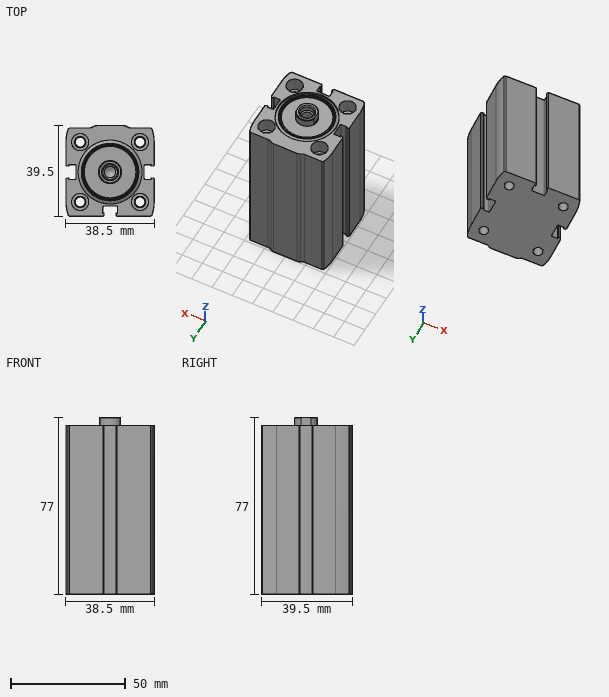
import cadquery as cq
import math

total_height = 77.0
body_width = 38.5
half_width = body_width / 2
body_height = 73.5

flank_flat_half = 12.85
flank_arc_end_x = 18.25
flank_arc_end_y = 18.8
bevel_end_x = 17.55
pad_height = 1.0
pad_top_half = 5.8
pad_base_half = 8.9

slot_depth = 4.4
slot_inner_width = 6.3
slot_mouth_width = 5.15
lip_thickness = 1.4
lip_chamfer = 0.5
floor_fillet = 0.4

hole_offset = 13.0
hole_diameter = 4.2
hole_cone_diameter = 4.9
counterbore_diameter = 7.5
counterbore_depth = 7.0

groove_diameter = 27.8
groove_depth = 0.9
rim_diameter = 25.0
rim_inner_diameter = 24.2
cover_groove_floor_diameter = 23.3
cover_groove_depth = 0.8
cover_diameter = 22.4
cover_recess = 0.4

rod_diameter = 10.0
rod_flat_width = 9.0
rod_tip_chamfer = 0.3
rod_socket_floor = 7.7
rod_mouth_diameter = 7.5
rod_bore_diameter = 6.4
rod_bore_depth = 2.85
rod_seat_depth = 0.4
rod_thread_diameter = 4.9
rod_thread_depth = 11.55
drill_point_angle = 118.0

cover_level = body_height - cover_recess


def revolve_outline(points):
    """Revolve a closed (radius, height) outline about the Z axis."""
    return cq.Workplane("XZ").polyline(points).close().revolve(360, (0, 0), (0, 1))


def make_profile():
    """Extrude the body outline: curved flanks, bevelled corners and a raised back pad."""
    rise = flank_arc_end_y - flank_flat_half
    inset = half_width - flank_arc_end_x
    pad_y = half_width + pad_height
    pad_mid_x = (pad_top_half + pad_base_half) / 2
    pad_mid_y = half_width + pad_height / 2
    flank_radius = (rise**2 + inset**2) / (2 * inset)
    half_angle = math.asin(rise / flank_radius) / 2
    arc_mid_x = half_width - flank_radius * (1 - math.cos(half_angle))
    arc_mid_y = flank_flat_half + flank_radius * math.sin(half_angle)
    right_half = (
        cq.Workplane("XY")
        .moveTo(0, -half_width)
        .lineTo(bevel_end_x, -half_width)
        .lineTo(flank_arc_end_x, -flank_arc_end_y)
        .threePointArc((arc_mid_x, -arc_mid_y), (half_width, -flank_flat_half))
        .lineTo(half_width, flank_flat_half)
        .threePointArc((arc_mid_x, arc_mid_y), (flank_arc_end_x, flank_arc_end_y))
        .lineTo(bevel_end_x, half_width)
        .lineTo(pad_base_half, half_width)
        .tangentArcPoint((pad_mid_x, pad_mid_y), relative=False)
        .tangentArcPoint((pad_top_half, pad_y), relative=False)
        .lineTo(0, pad_y)
    )
    return right_half.mirrorY().extrude(body_height)


def make_slot_cutter():
    """T-slot running the full height, opening on the front face."""
    mouth = slot_mouth_width / 2
    inner = slot_inner_width / 2
    face = -half_width
    outline = [
        (mouth + lip_chamfer, face),
        (mouth, face + lip_chamfer),
        (mouth, face + lip_thickness),
        (inner, face + lip_thickness),
        (inner, face + slot_depth),
    ]
    mirrored = [(-x, y) for x, y in reversed(outline)]
    slot = cq.Workplane("XY").polyline(outline + mirrored).close().extrude(body_height)
    return slot.faces(">Y").edges("|Z").fillet(floor_fillet)


def make_hole_cutter():
    """Through hole with a short cone below a flat-bottomed counterbore."""
    bore = hole_diameter / 2
    cone = hole_cone_diameter / 2
    seat = body_height - counterbore_depth
    return revolve_outline([
        (0, 0),
        (bore, 0),
        (bore, seat - (cone - bore)),
        (cone, seat),
        (counterbore_diameter / 2, seat),
        (counterbore_diameter / 2, body_height),
        (0, body_height),
    ])


def make_groove_cutter():
    """Ring groove with a vertical outer wall and a cone rising inwards to the rim."""
    return revolve_outline([
        (groove_diameter / 2, body_height),
        (groove_diameter / 2, body_height - groove_depth),
        (rim_diameter / 2, body_height),
    ])


def make_cover_recess_cutter():
    """Dish inside the rim: a flat cover with a small bevelled groove around it."""
    return revolve_outline([
        (0, body_height),
        (rim_inner_diameter / 2, body_height),
        (rim_inner_diameter / 2, body_height - cover_groove_depth),
        (cover_groove_floor_diameter / 2, body_height - cover_groove_depth),
        (cover_diameter / 2, cover_level),
        (0, cover_level),
    ])


def make_rod_socket_cutter():
    """Blind socket that the rod fills up to the cover."""
    return (
        cq.Workplane("XY")
        .workplane(offset=rod_socket_floor)
        .circle(rod_diameter / 2)
        .extrude(body_height - rod_socket_floor)
    )


def make_housing():
    housing = make_profile()
    slot = make_slot_cutter()
    for angle in (-90, 0, 90):
        housing = housing.cut(slot.rotate((0, 0, 0), (0, 0, 1), angle))
    hole = make_hole_cutter()
    for x in (-hole_offset, hole_offset):
        for y in (-hole_offset, hole_offset):
            housing = housing.cut(hole.translate((x, y, 0)))
    housing = housing.cut(make_groove_cutter())
    housing = housing.cut(make_cover_recess_cutter())
    return housing.cut(make_rod_socket_cutter())


def make_rod_bore_cutter():
    """Chamfered bore, conical seat and smaller hole with a drill point."""
    mouth = rod_mouth_diameter / 2
    bore = rod_bore_diameter / 2
    thread = rod_thread_diameter / 2
    seat = total_height - rod_bore_depth
    thread_end = total_height - rod_thread_depth
    point = thread / math.tan(math.radians(drill_point_angle / 2))
    return revolve_outline([
        (0, total_height),
        (mouth, total_height),
        (bore, total_height - (mouth - bore)),
        (bore, seat),
        (thread, seat - rod_seat_depth),
        (thread, thread_end),
        (0, thread_end - point),
    ])


def make_rod():
    rod = (
        cq.Workplane("XY")
        .workplane(offset=rod_socket_floor)
        .circle(rod_diameter / 2)
        .extrude(total_height - rod_socket_floor)
        .faces(">Z")
        .chamfer(rod_tip_chamfer)
    )
    flat_zone = (
        cq.Workplane("XY")
        .workplane(offset=cover_level)
        .rect(rod_diameter, rod_diameter)
        .rect(rod_flat_width, rod_diameter)
        .extrude(total_height - cover_level)
    )
    return rod.cut(flat_zone).cut(make_rod_bore_cutter())


housing = make_housing()
rod = make_rod()

result = cq.Compound.makeCompound([housing.val(), rod.val()])